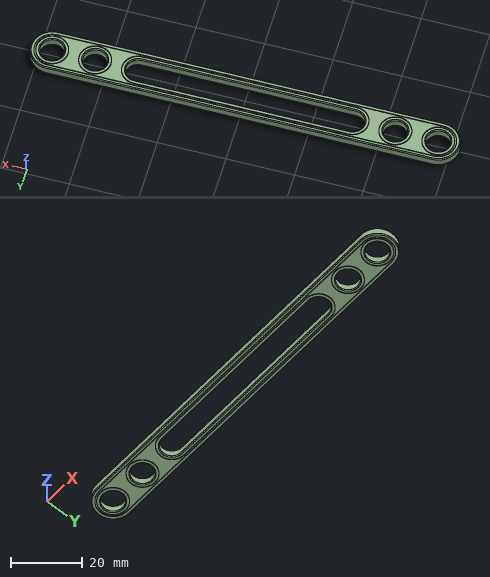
import cadquery as cq

length = 125.0
width = 12.5
thickness = 3.1
edge_chamfer = 0.3

bore_diameter = 7.0
collar_diameter = 9.2
rim_width = 1.1
recess_depth = 0.2

hole_pitch = 12.5

cap_center_distance = length - width
end_hole_x = cap_center_distance / 2
inner_hole_x = end_hole_x - hole_pitch
slot_center_distance = 2 * (inner_hole_x - hole_pitch)
bottom = -thickness / 2
top = thickness / 2


def rounded_bar(center_distance, diameter, height, bottom_z):
    """Prism with round ends, lying along X with its lower face at bottom_z."""
    return (
        cq.Workplane("XY", origin=(0, 0, bottom_z))
        .slot2D(center_distance + diameter, diameter)
        .extrude(height)
    )


def opening_shapes(diameter, height, bottom_z):
    """Four cylinders on the hole axes and a long prism on the slot, all of one diameter."""
    hole_points = [(side * x, 0) for side in (-1, 1) for x in (inner_hole_x, end_hole_x)]
    cylinders = (
        cq.Workplane("XY", origin=(0, 0, bottom_z))
        .pushPoints(hole_points)
        .circle(diameter / 2)
        .extrude(height)
    )
    return cylinders.union(rounded_bar(slot_center_distance, diameter, height, bottom_z))


def face_recess(bottom_z):
    """Shallow pocket inside the outer rim that leaves a collar around every opening."""
    pocket = rounded_bar(cap_center_distance, width - 2 * rim_width, recess_depth, bottom_z)
    return pocket.cut(opening_shapes(collar_diameter, recess_depth, bottom_z))


result = rounded_bar(cap_center_distance, width, thickness, bottom)

result = result.cut(opening_shapes(bore_diameter, thickness, bottom))

result = result.faces("|Z").edges().chamfer(edge_chamfer)

for recess_bottom in (bottom, top - recess_depth):
    result = result.cut(face_recess(recess_bottom))